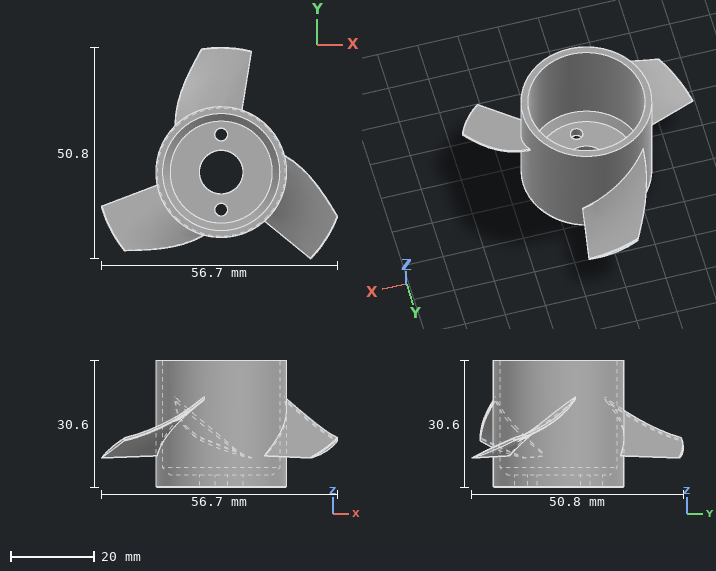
import cadquery as cq
import math

hub_radius = 15.7
hub_height = 30.6
hub_edge_chamfer = 0.35
bore_radius = 14.1
floor_radius = 12.25
floor_thickness = 3.0
bore_taper_height = 1.8
shaft_hole_radius = 5.2
screw_hole_diameter = 3.0
screw_hole_offset = 9.0

blade_count = 3
tip_radius = 29.95
embedded_radius = 14.75
leading_root_angle = 135.0
leading_tip_angle = 99.1
leading_sweep_bow = 15.0
leading_root_height = 21.85
leading_tip_height = 12.05
leading_height_bow = 5.6
trailing_root_angle = 71.4
trailing_tip_angle = 75.9
trailing_sweep_bow = -2.6
trailing_root_height = 7.7
trailing_tip_height = 7.2
leading_thickness = 0.75
middle_thickness = 0.85
trailing_thickness = 0.1
root_crown = 0.45
blade_edge_chamfer = 0.15
grid_steps = 10


def bowed(root, tip, bow, span):
    """Value along the span, sagging below the straight root-to-tip line by bow * span * (1 - span)."""
    return root + (tip - root) * span - bow * span * (1 - span)


def blade_point(radius, chord, side):
    """Point on the blade; chord runs 0 (trailing) to 1 (leading), side is 0 on top and 1 underneath."""
    span = (radius - hub_radius) / (tip_radius - hub_radius)
    leading_angle = bowed(leading_root_angle, leading_tip_angle, leading_sweep_bow, span)
    trailing_angle = bowed(trailing_root_angle, trailing_tip_angle, trailing_sweep_bow, span)
    leading_z = bowed(leading_root_height, leading_tip_height, leading_height_bow, span)
    trailing_z = bowed(trailing_root_height, trailing_tip_height, 0, span)
    bulge = middle_thickness - (leading_thickness + trailing_thickness) / 2
    thickness = trailing_thickness + (leading_thickness - trailing_thickness) * chord
    thickness += 4 * bulge * chord * (1 - chord)
    angle = math.radians(trailing_angle + (leading_angle - trailing_angle) * chord)
    z = trailing_z + (leading_z - trailing_z) * chord - side * thickness
    z += 4 * root_crown * (1 - span) * chord * (1 - chord)
    return cq.Vector(radius * math.cos(angle), radius * math.sin(angle), z)


def blade_surface(side):
    """Curved top or underside of the blade."""
    steps = [i / grid_steps for i in range(grid_steps + 1)]
    radii = [embedded_radius + (tip_radius - embedded_radius) * s for s in steps]
    grid = [[blade_point(radius, chord, side) for chord in steps] for radius in radii]
    return cq.Face.makeSplineApprox(grid, tol=0.001, minDeg=3, maxDeg=6)


def edge_near(shape, point):
    """Edge of the shape whose midpoint is closest to the point."""
    return min(shape.Edges(), key=lambda edge: (edge.positionAt(0.5) - point).Length)


def make_blade():
    """Two curved faces closed by ruled strips along the root, tip, leading and trailing edges."""
    top = blade_surface(0)
    underside = blade_surface(1)
    middle_radius = (embedded_radius + tip_radius) / 2
    faces = [top, underside]
    for radius, chord in [(embedded_radius, 0.5), (tip_radius, 0.5), (middle_radius, 0), (middle_radius, 1)]:
        upper = edge_near(top, blade_point(radius, chord, 0))
        lower = edge_near(underside, blade_point(radius, chord, 1))
        faces.append(cq.Face.makeRuledSurface(upper, lower))
    blade = cq.Solid.makeSolid(cq.Shell.makeShell(faces)).fix()
    exposed_edges = [
        edge_near(blade, blade_point(tip_radius, 0.5, 0)),
        edge_near(blade, blade_point(middle_radius, 1, 0)),
    ]
    return cq.Workplane(blade.chamfer(blade_edge_chamfer, None, exposed_edges))


def make_hub():
    """Cup with a tapered foot to its bore, a shaft hole and two screw holes in the floor."""
    body = cq.Workplane("XY").circle(hub_radius).extrude(hub_height)
    body = body.faces("<Z").edges().chamfer(hub_edge_chamfer)
    bore = (
        cq.Workplane("XZ")
        .moveTo(0, floor_thickness)
        .lineTo(floor_radius, floor_thickness)
        .lineTo(bore_radius, floor_thickness + bore_taper_height)
        .lineTo(bore_radius, hub_height)
        .lineTo(0, hub_height)
        .close()
        .revolve(360, (0, 0), (0, 1))
    )
    shaft_hole = cq.Workplane("XY").circle(shaft_hole_radius).extrude(hub_height)
    screw_holes = (
        cq.Workplane("XY")
        .pushPoints([(0, screw_hole_offset), (0, -screw_hole_offset)])
        .circle(screw_hole_diameter / 2)
        .extrude(hub_height)
    )
    return body.cut(bore).cut(shaft_hole).cut(screw_holes)


result = make_hub()
blade = make_blade()
for index in range(blade_count):
    result = result.union(blade.rotate((0, 0, 0), (0, 0, 1), index * 360 / blade_count))